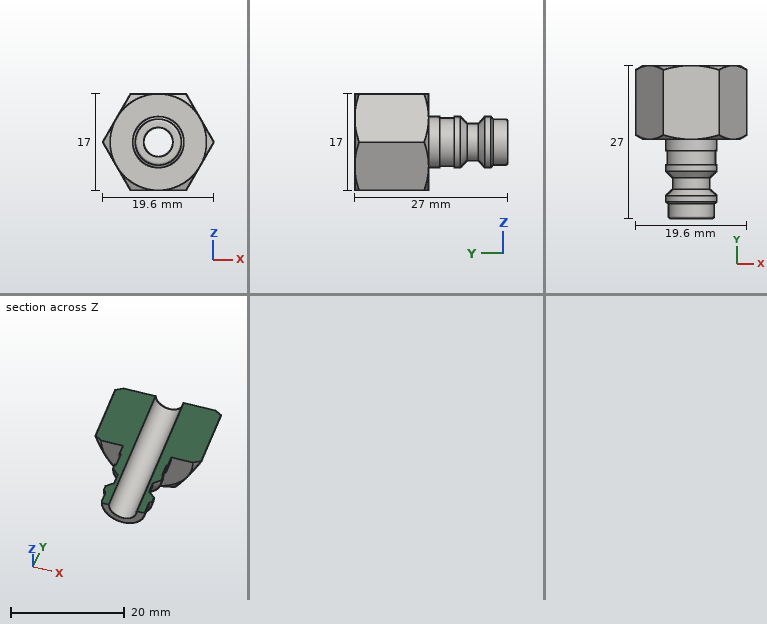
import cadquery as cq
import math

total_length = 27.0
across_flats = 17.0
nut_length = 13.01
nut_chamfer_angle = 30.0
bore_diameter = 5.1

tip_diameter = 8.13
collar_diameter = 9.05
neck_diameter = 6.6
groove_diameter = 8.55
tip_rounding = 0.49

tip_length = 2.62
tip_cone_length = 0.38
front_collar_length = 1.08
front_cone_length = 1.1
neck_length = 2.0
rear_cone_length = 1.2
rear_collar_length = 1.1
groove_length = 2.55

plug_length = total_length - nut_length
hexagon_sides = 6
across_corners = across_flats / math.cos(math.pi / hexagon_sides)


def make_nut():
    """Hexagon with two corners on X, both ends turned to a conical chamfer."""
    hexagon = (
        cq.Workplane("XZ", origin=(0, plug_length, 0))
        .polygon(hexagon_sides, across_corners)
        .extrude(-nut_length)
    )
    face_radius = across_flats / 2
    corner_radius = across_corners / 2
    chamfer_depth = (corner_radius - face_radius) * math.tan(math.radians(nut_chamfer_angle))
    envelope = (
        cq.Workplane("XY")
        .moveTo(0, plug_length)
        .lineTo(face_radius, plug_length)
        .lineTo(corner_radius, plug_length + chamfer_depth)
        .lineTo(corner_radius, total_length - chamfer_depth)
        .lineTo(face_radius, total_length)
        .lineTo(0, total_length)
        .close()
        .revolve(360, (0, 0, 0), (0, 1, 0))
    )
    return hexagon.intersect(envelope)


def make_plug():
    """Turned plug: each section is a length with its radius at either end."""
    tip_radius = tip_diameter / 2
    collar_radius = collar_diameter / 2
    neck_radius = neck_diameter / 2
    groove_radius = groove_diameter / 2
    sections = [
        (tip_cone_length, tip_radius, collar_radius),
        (front_collar_length, collar_radius, collar_radius),
        (front_cone_length, collar_radius, neck_radius),
        (neck_length, neck_radius, neck_radius),
        (rear_cone_length, neck_radius, collar_radius),
        (rear_collar_length, collar_radius, collar_radius),
        (groove_length, groove_radius, groove_radius),
    ]
    profile = (
        cq.Workplane("XY")
        .lineTo(tip_radius - tip_rounding, 0)
        .radiusArc((tip_radius, tip_rounding), -tip_rounding)
        .lineTo(tip_radius, tip_length)
    )
    y = tip_length
    radius = tip_radius
    for length, start_radius, end_radius in sections:
        if start_radius != radius:
            profile = profile.lineTo(start_radius, y)
        y += length
        radius = end_radius
        profile = profile.lineTo(radius, y)
    profile = profile.lineTo(collar_radius, y).lineTo(collar_radius, plug_length).lineTo(0, plug_length)
    return profile.close().revolve(360, (0, 0, 0), (0, 1, 0))


bore = cq.Workplane("XZ").circle(bore_diameter / 2).extrude(-total_length)
result = make_nut().union(make_plug()).cut(bore)